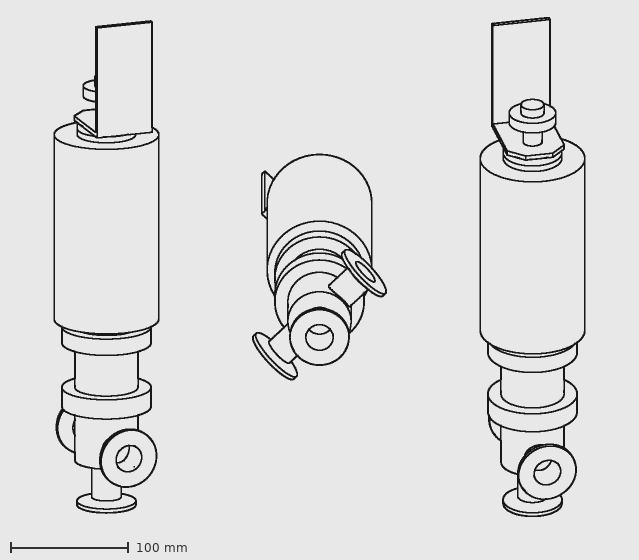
import cadquery as cq

port_face_z = 0.0
chamber_diameter = 54.0
chamber_bottom_z = 39.5
flange_diameter = 76.0
lower_flange_bottom_z = 87.0
lower_flange_top_z = 104.0
upper_flange_bottom_z = 143.5
upper_flange_top_z = 158.0
actuator_diameter = 89.0
actuator_bottom_z = 164.5
actuator_top_z = 328.0
neck_diameter = 50.0
neck_top_z = 333.2
stem_diameter = 16.0
knob_diameter = 40.0
knob_bottom_z = 362.0
knob_top_z = 371.5
cap_diameter = 19.5
cap_top_z = 379.0

port_span = 110.0
side_port_z = 56.0
tube_diameter = 25.5
bore_diameter = 23.0
ferrule_diameter = 50.5
rim_thickness = 3.5
ferrule_thickness = 7.0

spacer_height = 6.5
bracket_thickness = 4.0
bracket_width = neck_diameter
bracket_left_x = -bracket_width / 2
bracket_right_x = actuator_diameter / 2
bracket_top_z = 437.5
bracket_corner_cut = 13.0


def disc(diameter, bottom_z, top_z):
    """Cylinder on the Z axis between two levels."""
    return cq.Workplane("XY").workplane(offset=bottom_z).circle(diameter / 2).extrude(top_z - bottom_z)


def port_profile(length):
    """Outer shape of a port, with its open face on the XY plane and its tube along +Z."""
    return (
        cq.Workplane("XZ")
        .moveTo(0, 0)
        .lineTo(ferrule_diameter / 2, 0)
        .lineTo(ferrule_diameter / 2, rim_thickness)
        .lineTo(tube_diameter / 2, ferrule_thickness)
        .lineTo(tube_diameter / 2, length)
        .lineTo(0, length)
        .close()
        .revolve(360, (0, 0, 0), (0, 1, 0))
    )


def hollow_port(length):
    """Port with its bore running the whole length."""
    return port_profile(length).cut(disc(bore_diameter, 0, length))


def make_ports():
    """Two opposite side ports and one bottom port; the side tubes run to the chamber axis."""
    side_length = port_span / 2
    ports = [hollow_port(chamber_bottom_z - port_face_z).translate((0, 0, port_face_z))]
    for side in (-1, 1):
        port = hollow_port(side_length).rotate((0, 0, 0), (0, 1, 0), -side * 90)
        ports.append(port.translate((side * side_length, 0, side_port_z)))
    return ports


def make_valve():
    """Chamber, flanges, actuator, neck, stem and knob as one body.

    The side bores stop at the chamber wall because the chamber fills the inner tube ends.
    """
    valve = disc(chamber_diameter, chamber_bottom_z, actuator_bottom_z)
    sections = [
        (flange_diameter, lower_flange_bottom_z, lower_flange_top_z),
        (flange_diameter, upper_flange_bottom_z, upper_flange_top_z),
        (actuator_diameter, actuator_bottom_z, actuator_top_z),
        (neck_diameter, actuator_top_z, neck_top_z),
        (stem_diameter, neck_top_z, knob_bottom_z),
        (knob_diameter, knob_bottom_z, knob_top_z),
        (cap_diameter, knob_top_z, cap_top_z),
    ]
    for diameter, bottom_z, top_z in sections:
        valve = valve.union(disc(diameter, bottom_z, top_z))
    for port in make_ports():
        valve = valve.union(port)
    return valve


def make_bracket():
    """L-shaped plate with two cut corners on a round spacer, with a hole that fits the stem."""
    foot_bottom_z = neck_top_z + spacer_height
    foot_top_z = foot_bottom_z + bracket_thickness
    bracket = (
        cq.Workplane("XZ")
        .moveTo(bracket_left_x, foot_bottom_z)
        .lineTo(bracket_right_x, foot_bottom_z)
        .lineTo(bracket_right_x, bracket_top_z)
        .lineTo(bracket_right_x - bracket_thickness, bracket_top_z)
        .lineTo(bracket_right_x - bracket_thickness, foot_top_z)
        .lineTo(bracket_left_x, foot_top_z)
        .close()
        .extrude(bracket_width / 2, both=True)
    )
    bracket = bracket.edges("|Z").edges("<X").chamfer(bracket_corner_cut)
    bracket = bracket.union(disc(neck_diameter, neck_top_z, foot_bottom_z))
    return bracket.cut(disc(stem_diameter, neck_top_z, foot_top_z))


valve = make_valve()
bracket = make_bracket()
result = cq.Compound.makeCompound([valve.val(), bracket.val()])